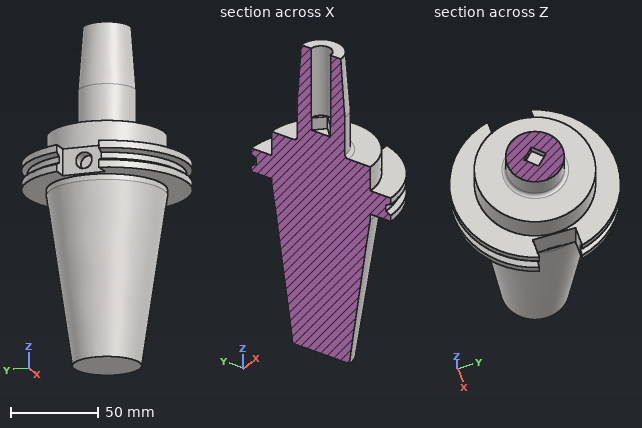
import cadquery as cq

total_height = 201.5
gauge_height = 101.6
flange_bottom = 104.8
flange_top = 120.8
hub_top = 136.7
nose_cone_bottom = 164.0

gauge_radius = 34.9
taper_per_length = 7 / 24
flange_radius = 49.2
neck_radius = 17.0
nose_radius = 14.1
neck_fillet = 2.2
small_end_radius = gauge_radius - gauge_height * taper_per_length / 2

groove_floor_radius = 45.8
groove_mouth = 7.3
groove_floor_width = 3.6

slot_width = 25.8
slot_floor_minus_x = 37.7
slot_floor_plus_x = 35.3
index_hole_diameter = 9.7
index_hole_depth = 8.0

bore_diameter = 13.3
bore_depth = 46.4
socket_diagonal = 13.0
socket_depth = 8.0

flange_height = flange_top - flange_bottom
flange_middle = (flange_top + flange_bottom) / 2


def turned_body():
    """Taper, flange, hub, neck and conical nose revolved about Z."""
    diagonal = 0.5 ** 0.5
    fillet_center_x = neck_radius + neck_fillet
    fillet_center_z = hub_top + neck_fillet
    fillet_middle = (
        fillet_center_x - neck_fillet * diagonal,
        fillet_center_z - neck_fillet * diagonal,
    )
    profile = (
        cq.Workplane("XZ")
        .lineTo(small_end_radius, 0)
        .lineTo(gauge_radius, gauge_height)
        .lineTo(gauge_radius, flange_bottom)
        .lineTo(flange_radius, flange_bottom)
        .lineTo(flange_radius, flange_middle - groove_mouth / 2)
        .lineTo(groove_floor_radius, flange_middle - groove_floor_width / 2)
        .lineTo(groove_floor_radius, flange_middle + groove_floor_width / 2)
        .lineTo(flange_radius, flange_middle + groove_mouth / 2)
        .lineTo(flange_radius, flange_top)
        .lineTo(gauge_radius, flange_top)
        .lineTo(gauge_radius, hub_top)
        .lineTo(fillet_center_x, hub_top)
        .threePointArc(fillet_middle, (neck_radius, fillet_center_z))
        .lineTo(neck_radius, nose_cone_bottom)
        .lineTo(nose_radius, total_height)
        .lineTo(0, total_height)
        .close()
    )
    return profile.revolve(360, (0, 0, 0), (0, 1, 0))


def drive_slot(side, floor_distance):
    """Cutter for a slot on the +X (side = 1) or -X (side = -1) rim."""
    length = flange_radius - floor_distance
    center_x = side * (floor_distance + length / 2)
    return cq.Workplane("XY").box(length, slot_width, flange_height).translate((center_x, 0, flange_middle))


def index_hole():
    """Cutter for the blind hole going inward from the -X slot floor."""
    return (
        cq.Workplane("YZ", origin=(-slot_floor_minus_x, 0, flange_middle))
        .circle(index_hole_diameter / 2)
        .extrude(index_hole_depth)
    )


def tool_bore():
    """Cutter for the blind bore in the nose."""
    return (
        cq.Workplane("XY", origin=(0, 0, total_height))
        .circle(bore_diameter / 2)
        .extrude(-bore_depth)
    )


def square_socket():
    """Cutter for the square socket, its corners on the X and Y axes."""
    corner_count = 4
    return (
        cq.Workplane("XY", origin=(0, 0, total_height - bore_depth))
        .polygon(corner_count, socket_diagonal)
        .extrude(-socket_depth)
    )


result = (
    turned_body()
    .cut(drive_slot(-1, slot_floor_minus_x))
    .cut(drive_slot(1, slot_floor_plus_x))
    .cut(index_hole())
    .cut(tool_bore())
    .cut(square_socket())
)